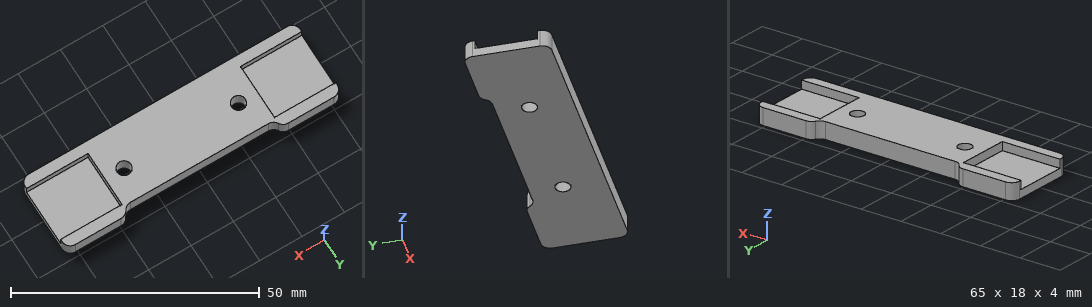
import cadquery as cq
import math

LENGTH = 65.0
WIDTH = 18.0
THICKNESS = 4.0
CORNER_RADIUS = 2.0

RECESS_DEPTH = 2.0
STEP_RADIUS = 2.0
STEP_MIDDLE_X = 18.0

POCKET_LENGTH = 14.5
POCKET_WIDTH = 13.0
POCKET_DEPTH = 2.0

HOLE_DIAMETER = 3.2
HOLE_SPACING = 27.0


def make_bar():
    """Plain bar with rounded vertical corners."""
    bar = cq.Workplane("XY").box(LENGTH, WIDTH, THICKNESS, centered=(True, True, False))
    return bar.edges("|Z").fillet(CORNER_RADIUS)


def make_recess():
    """Edge recess whose ends are S-shaped steps of two equal tangent arcs."""
    edge_y = WIDTH / 2
    floor_y = edge_y - RECESS_DEPTH
    middle_y = edge_y - RECESS_DEPTH / 2

    sweep = math.acos(1 - RECESS_DEPTH / (2 * STEP_RADIUS))
    arc_run = STEP_RADIUS * math.sin(sweep)
    arc_mid_run = STEP_RADIUS * math.sin(sweep / 2)
    arc_mid_rise = STEP_RADIUS * (1 - math.cos(sweep / 2))

    inner_x = STEP_MIDDLE_X - arc_run
    outer_x = STEP_MIDDLE_X + arc_run
    inner_mid_x = inner_x + arc_mid_run
    outer_mid_x = outer_x - arc_mid_run
    inner_mid_y = floor_y + arc_mid_rise
    outer_mid_y = edge_y - arc_mid_rise

    return (
        cq.Workplane("XY")
        .moveTo(-inner_x, floor_y)
        .lineTo(inner_x, floor_y)
        .threePointArc((inner_mid_x, inner_mid_y), (STEP_MIDDLE_X, middle_y))
        .threePointArc((outer_mid_x, outer_mid_y), (outer_x, edge_y))
        .lineTo(-outer_x, edge_y)
        .threePointArc((-outer_mid_x, outer_mid_y), (-STEP_MIDDLE_X, middle_y))
        .threePointArc((-inner_mid_x, inner_mid_y), (-inner_x, floor_y))
        .close()
        .extrude(THICKNESS)
    )


def make_pockets():
    """One rectangular pocket at each end, cut from the top face."""
    pocket_x = (LENGTH - POCKET_LENGTH) / 2
    return (
        cq.Workplane("XY", origin=(0, 0, THICKNESS - POCKET_DEPTH))
        .pushPoints([(-pocket_x, 0), (pocket_x, 0)])
        .rect(POCKET_LENGTH, POCKET_WIDTH)
        .extrude(POCKET_DEPTH)
    )


def make_holes():
    """Pair of through holes."""
    return (
        cq.Workplane("XY")
        .pushPoints([(-HOLE_SPACING / 2, 0), (HOLE_SPACING / 2, 0)])
        .circle(HOLE_DIAMETER / 2)
        .extrude(THICKNESS)
    )


result = make_bar().cut(make_recess()).cut(make_pockets()).cut(make_holes())